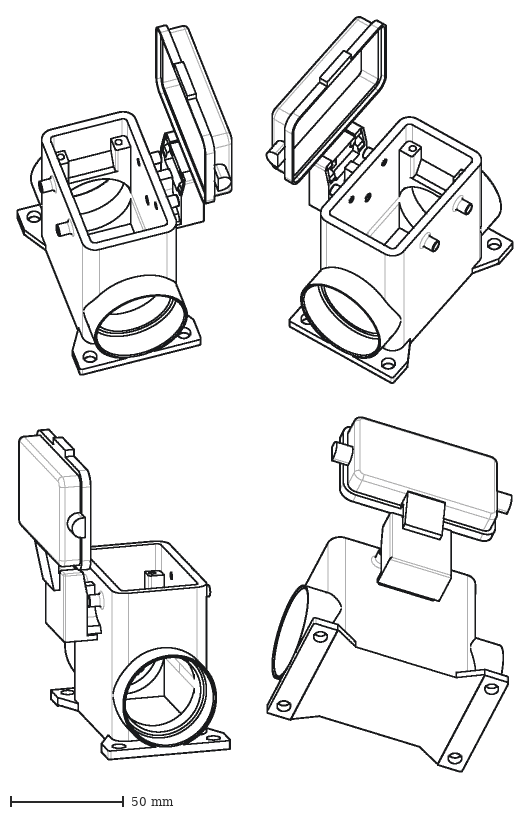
import cadquery as cq
import math

FOOT_HALF_X = 46.75
FOOT_HALF_Y = 28.25
FOOT_TOP = 4.0
FOOT_CORNER = 1.0
FOOT_WING_X = 24.0
FOOT_HOLE_D = 6.0
FOOT_HOLE_X = 41.0

BODY_HALF_X = 35.2
BODY_HALF_Y = 21.85
BODY_BOTTOM = 0.5
BODY_TOP = 73.0
BODY_CORNER = 6.0
WALL = 4.0
CAVITY_FLOOR = 4.0
CAVITY_CORNER = 2.0
CAVITY_HALF_X = BODY_HALF_X - WALL
CAVITY_HALF_Y = BODY_HALF_Y - WALL

POST_SIZE = 7.0
POST_TOP = 60.5
POST_HOLE_D = 3.0
POST_HOLE_DEPTH = 12.0
POST_HOLE_X = 28.3
POST_HOLE_Y = 13.5
POST_EDGE_ROUND = 1.0
END_WALL_X = CAVITY_HALF_X - POST_SIZE
END_SLOPE_X = 27.2
END_SLOPE_TOP = 51.8
END_SLOPE_FOOT = 45.0

ENTRY_Z = 24.6
ENTRY_R = 21.6
ENTRY_MOUTH_R = 20.4
ENTRY_MOUTH_DEPTH = 11.7
ENTRY_CHAMFER = 0.6
ENTRY_SEAT_R = 19.5
ENTRY_SEAT_LENGTH = 1.0
ENTRY_BORE_R = 18.0

PIN_X = 12.7
PIN_Z = 63.55
PIN_R = 2.65
PIN_BASE_FILLET = 1.4
PIN_END_Y = 28.0
PIN_CHAMFER = 0.3
PIN_SOCKET_D = 3.2
HINGE_SOCKET_D = 4.0
HINGE_SOCKET_Z = 51.5
SOCKET_DEPTH = 0.5

BRACKET_HALF_X = 14.75
BRACKET_BACK = 39.9
BRACKET_FRONT = 28.9
BRACKET_TOP = 77.7
BRACKET_TOP_FRONT = 30.8
BRACKET_SLOPE_END = 67.4
BRACKET_BOTTOM = 45.9
BRACKET_LIP_FRONT = 24.4
BRACKET_LIP_TOP = 48.2
BRACKET_FILLET = 0.8
SLOT_HALF_X = 9.0
SLOT_FLOOR = 65.5
KNUCKLE_TOP = 76.4
KNUCKLE_FRONT = 31.2
KNUCKLE_FOOT_FRONT = 32.6
EAR_BOTTOM = 72.0
EAR_INNER_X = 5.75
POCKET_HALF_X = 13.2
POCKET_SETBACK = 0.5
POCKET_TOP = 75.3
POCKET_BACK = 36.0
POCKET_BACK_Z = 74.2
POCKET_FRONT_Z = 69.5

RIB_HALF_X = 2.5
RIB_FLARE_Z = 59.2
RIB_KNEE = (5.25, 53.7)
RIB_FLARE_MID = (3.3, 56.1)
RIB_APRON_MID = (7.8, 52.1)
RIB_ROOT = (11.0, 51.2)
RIB_FOOT_X = 13.0

LID_BACK = 47.0
LID_FLANGE_BACK = 37.65
LID_FRONT = 33.5
LID_Z = 107.6
LID_FLANGE_HALF_X = 36.4
LID_FLANGE_HALF_Z = 23.1
LID_FLANGE_CORNER = 6.0
LID_INSET = 2.2
LID_BACK_FILLET = 2.0
LID_RECESS_INSET = 1.1
LID_RECESS_DEPTH = 2.0
LID_CAVITY_INSET = 3.6
LID_CAVITY_FLOOR = 44.5
LID_CAVITY_CORNER = 2.0
TAB_HALF_X = 9.4
TAB_TOP = 133.75
LUG_HALF_X = 41.9
LUG_R = 4.6
LUG_BACK = 43.7
ARM_HALF_X = 8.9
ARM_BOTTOM = 68.6
ARM_FRONT = 40.4
ARM_TIP_BACK = 42.6
ARM_ROOT_BACK = 46.4
ARM_ROOT_Z = 87.0
ARM_BRACKET_OVERLAP = 2.0


def block(x0, x1, y0, y1, z0, z1):
    """Axis-aligned box given by its limits."""
    return cq.Workplane("XY").box(x1 - x0, y1 - y0, z1 - z0, centered=False).translate((x0, y0, z0))


def rounded_block(half_x, half_y, z0, z1, corner):
    """Upright block centred on the Z axis, with rounded vertical edges."""
    return block(-half_x, half_x, -half_y, half_y, z0, z1).edges("|Z").fillet(corner)


def extrude_along_x(points, half_x):
    """Extrude a (y, z) outline symmetrically about X = 0."""
    return cq.Workplane("YZ").polyline(points).close().extrude(half_x, both=True)


def four_ways(shape):
    """The shape together with its mirror images in X and Y."""
    pair = shape.union(shape.mirror("YZ"))
    return pair.union(pair.mirror("XZ"))


def make_foot():
    """End plate with a tapered wing on each side, at +X."""
    plate = (
        block(BODY_HALF_X, FOOT_HALF_X, -FOOT_HALF_Y, FOOT_HALF_Y, 0, FOOT_TOP)
        .edges("|Z and >X")
        .fillet(FOOT_CORNER)
    )
    wing_outline = [
        (BODY_HALF_X, -FOOT_HALF_Y),
        (BODY_HALF_X, FOOT_HALF_Y),
        (FOOT_WING_X, BODY_HALF_Y),
        (FOOT_WING_X, -BODY_HALF_Y),
    ]
    wing = (
        cq.Workplane("XY", origin=(0, 0, BODY_BOTTOM))
        .polyline(wing_outline)
        .close()
        .extrude(FOOT_TOP - BODY_BOTTOM)
    )
    return plate.union(wing)


def make_foot_holes():
    """Screw holes through the four feet."""
    hole = cq.Workplane("XY").center(FOOT_HOLE_X, BODY_HALF_Y).circle(FOOT_HOLE_D / 2).extrude(FOOT_TOP)
    return four_ways(hole)


def make_cavity():
    """Inside of the housing, leaving the sloped end walls and the screw posts standing."""
    cavity = rounded_block(CAVITY_HALF_X, CAVITY_HALF_Y, CAVITY_FLOOR, BODY_TOP, CAVITY_CORNER)
    end_outline = [
        (END_WALL_X, CAVITY_FLOOR),
        (CAVITY_HALF_X, CAVITY_FLOOR),
        (CAVITY_HALF_X, END_SLOPE_TOP),
        (END_SLOPE_X, END_SLOPE_FOOT),
        (END_WALL_X, END_SLOPE_FOOT),
    ]
    end_wall = cq.Workplane("XZ").polyline(end_outline).close().extrude(CAVITY_HALF_Y, both=True)
    post = (
        block(END_WALL_X, CAVITY_HALF_X, CAVITY_HALF_Y - POST_SIZE, CAVITY_HALF_Y, CAVITY_FLOOR, POST_TOP)
        .edges("|Z and <X and <Y")
        .fillet(POST_EDGE_ROUND)
    )
    post_hole = (
        cq.Workplane("XY", origin=(POST_HOLE_X, POST_HOLE_Y, POST_TOP))
        .circle(POST_HOLE_D / 2)
        .extrude(-POST_HOLE_DEPTH)
    )
    standing = end_wall.union(end_wall.mirror("YZ")).union(four_ways(post.cut(post_hole)))
    return cavity.cut(standing)


def make_entry_bore():
    """Stepped bore of the cable entry, from the middle of the housing out to +X."""
    mouth_bottom = FOOT_HALF_X - ENTRY_MOUTH_DEPTH
    outline = [
        (0, 0),
        (0, ENTRY_BORE_R),
        (mouth_bottom - ENTRY_SEAT_LENGTH, ENTRY_BORE_R),
        (mouth_bottom - ENTRY_SEAT_LENGTH, ENTRY_SEAT_R),
        (mouth_bottom, ENTRY_MOUTH_R),
        (FOOT_HALF_X - ENTRY_CHAMFER, ENTRY_MOUTH_R),
        (FOOT_HALF_X, ENTRY_MOUTH_R + ENTRY_CHAMFER),
        (FOOT_HALF_X, 0),
    ]
    bore = cq.Workplane("XY").polyline(outline).close().revolve(360, (0, 0, 0), (1, 0, 0))
    return bore.translate((0, 0, ENTRY_Z))


def make_pin():
    """Locking pin standing on the wall at +X, +Y, with a flared base."""
    base_r = PIN_R + PIN_BASE_FILLET
    fillet_end_y = BODY_HALF_Y + PIN_BASE_FILLET
    arc_reach = PIN_BASE_FILLET * (1 - math.sqrt(0.5))
    pin = (
        cq.Workplane("XY")
        .moveTo(0, CAVITY_HALF_Y + WALL / 2)
        .lineTo(base_r, CAVITY_HALF_Y + WALL / 2)
        .lineTo(base_r, BODY_HALF_Y)
        .threePointArc((PIN_R + arc_reach, BODY_HALF_Y + arc_reach), (PIN_R, fillet_end_y))
        .lineTo(PIN_R, PIN_END_Y - PIN_CHAMFER)
        .lineTo(PIN_R - PIN_CHAMFER, PIN_END_Y)
        .lineTo(0, PIN_END_Y)
        .close()
        .revolve(360, (0, 0, 0), (0, 1, 0))
    )
    return pin.translate((PIN_X, 0, PIN_Z))


def make_socket(x, z, diameter):
    """Shallow round socket in the inner face of the +Y wall."""
    socket = cq.Workplane("XZ", origin=(x, CAVITY_HALF_Y, z)).circle(diameter / 2)
    return socket.extrude(-SOCKET_DEPTH)


def make_housing():
    """Open-topped housing with feet, cable entries and locking pins."""
    body = rounded_block(BODY_HALF_X, BODY_HALF_Y, BODY_BOTTOM, BODY_TOP, BODY_CORNER)
    entries = (
        cq.Workplane("YZ", origin=(0, 0, ENTRY_Z)).circle(ENTRY_R).extrude(FOOT_HALF_X, both=True)
    )
    foot = make_foot()
    bore = make_entry_bore()
    housing = body.union(entries).union(foot).union(foot.mirror("YZ"))
    housing = housing.cut(make_cavity()).cut(bore).cut(bore.mirror("YZ")).cut(make_foot_holes())
    housing = housing.union(four_ways(make_pin()))
    housing = housing.cut(four_ways(make_socket(PIN_X, PIN_Z, PIN_SOCKET_D)))
    return housing.cut(make_socket(0, HINGE_SOCKET_Z, HINGE_SOCKET_D))


def make_knuckle():
    """Core of the bracket slot: a receding front face with an upright ear at each top corner."""
    core_outline = [
        (BRACKET_BACK, SLOT_FLOOR),
        (KNUCKLE_FOOT_FRONT, SLOT_FLOOR),
        (KNUCKLE_FRONT, KNUCKLE_TOP),
        (BRACKET_BACK, KNUCKLE_TOP),
    ]
    core = extrude_along_x(core_outline, SLOT_HALF_X)
    ear = block(EAR_INNER_X, SLOT_HALF_X, KNUCKLE_FRONT, BRACKET_BACK, EAR_BOTTOM, KNUCKLE_TOP)
    return core.union(ear).union(ear.mirror("YZ"))


def make_pocket():
    """Cut between the knuckle and the +X side wall: a front setback and a deep hollow behind it."""
    setback_outline = [
        (BRACKET_FRONT, BRACKET_SLOPE_END),
        (BRACKET_FRONT + POCKET_SETBACK, BRACKET_SLOPE_END),
        (BRACKET_TOP_FRONT + POCKET_SETBACK, BRACKET_TOP),
        (BRACKET_FRONT, BRACKET_TOP),
    ]
    hollow_outline = [
        (BRACKET_FRONT, POCKET_FRONT_Z),
        (POCKET_BACK, POCKET_BACK_Z),
        (POCKET_BACK, POCKET_TOP),
        (BRACKET_FRONT, POCKET_TOP),
    ]
    plane = cq.Workplane("YZ", origin=(SLOT_HALF_X, 0, 0))
    depth = POCKET_HALF_X - SLOT_HALF_X
    setback = plane.polyline(setback_outline).close().extrude(depth)
    return setback.union(plane.polyline(hollow_outline).close().extrude(depth))


def make_bracket():
    """Hinge bracket behind the housing, with the knuckle slot and two side pockets."""
    outline = [
        (BRACKET_BACK, BRACKET_BOTTOM),
        (BRACKET_LIP_FRONT, BRACKET_BOTTOM),
        (BRACKET_LIP_FRONT, BRACKET_LIP_TOP),
        (BRACKET_FRONT, BRACKET_LIP_TOP),
        (BRACKET_FRONT, BRACKET_SLOPE_END),
        (BRACKET_TOP_FRONT, BRACKET_TOP),
        (BRACKET_BACK, BRACKET_TOP),
    ]
    bracket = extrude_along_x(outline, BRACKET_HALF_X)
    bracket = bracket.faces(">Y or >Z").edges("not <Y").fillet(BRACKET_FILLET)
    slot = block(-SLOT_HALF_X, SLOT_HALF_X, BRACKET_FRONT, BRACKET_BACK, SLOT_FLOOR, BRACKET_TOP)
    bracket = bracket.cut(slot).union(make_knuckle())
    pocket = make_pocket()
    return bracket.cut(pocket).cut(pocket.mirror("YZ"))


def make_rib():
    """Flared rib between the housing wall and the bracket."""
    start_y = BODY_HALF_Y - WALL / 2
    half = (
        cq.Workplane("XZ", origin=(0, start_y, 0))
        .moveTo(0, BRACKET_LIP_TOP)
        .lineTo(RIB_FOOT_X, BRACKET_LIP_TOP)
        .lineTo(*RIB_ROOT)
        .threePointArc(RIB_APRON_MID, RIB_KNEE)
        .threePointArc(RIB_FLARE_MID, (RIB_HALF_X, RIB_FLARE_Z))
        .lineTo(RIB_HALF_X, BRACKET_SLOPE_END)
        .lineTo(0, BRACKET_SLOPE_END)
        .close()
        .extrude(start_y - BRACKET_FRONT)
    )
    return half.union(half.mirror("YZ"))


def lid_prism(inset, y0, y1, corner):
    """Rounded plate parallel to the lid face, inset from the flange outline."""
    half_x = LID_FLANGE_HALF_X - inset
    half_z = LID_FLANGE_HALF_Z - inset
    return block(-half_x, half_x, y0, y1, LID_Z - half_z, LID_Z + half_z).edges("|Y").fillet(corner)


def make_lug():
    """Side lugs as one bar through the lid: flat towards the flange, half-round at the back."""
    centre_y = LUG_BACK - LUG_R
    straight = block(
        -LUG_HALF_X, LUG_HALF_X, LID_FLANGE_BACK, centre_y, LID_Z - LUG_R, LID_Z + LUG_R
    )
    behind_centre = block(-LUG_HALF_X, LUG_HALF_X, centre_y, LUG_BACK, LID_Z - LUG_R, LID_Z + LUG_R)
    barrel = cq.Workplane("YZ", origin=(0, centre_y, LID_Z)).circle(LUG_R).extrude(LUG_HALF_X, both=True)
    return straight.union(barrel.intersect(behind_centre))


def make_arm():
    """Tapered arm from the lid down into the bracket slot."""
    outline = [
        (LID_FLANGE_BACK, ARM_ROOT_Z),
        (ARM_ROOT_BACK, ARM_ROOT_Z),
        (ARM_TIP_BACK, ARM_BOTTOM),
        (BRACKET_BACK - ARM_BRACKET_OVERLAP, ARM_BOTTOM),
        (BRACKET_BACK - ARM_BRACKET_OVERLAP, KNUCKLE_TOP),
        (ARM_FRONT, KNUCKLE_TOP),
        (ARM_FRONT, LID_Z - LID_FLANGE_HALF_Z),
        (LID_FLANGE_BACK, LID_Z - LID_FLANGE_HALF_Z),
    ]
    return extrude_along_x(outline, ARM_HALF_X)


def make_lid():
    """Lid standing open, its mouth facing -Y."""
    flange = lid_prism(0, LID_FRONT, LID_FLANGE_BACK, LID_FLANGE_CORNER)
    tray = lid_prism(LID_INSET, LID_FRONT, LID_BACK, LID_FLANGE_CORNER - LID_INSET)
    tray = tray.faces(">Y").edges().fillet(LID_BACK_FILLET)
    tab = block(-TAB_HALF_X, TAB_HALF_X, LID_FRONT, LID_FLANGE_BACK, LID_Z, TAB_TOP)
    recess = lid_prism(
        LID_RECESS_INSET, LID_FRONT, LID_FRONT + LID_RECESS_DEPTH, LID_FLANGE_CORNER - LID_RECESS_INSET
    )
    cavity = lid_prism(LID_CAVITY_INSET, LID_FRONT, LID_CAVITY_FLOOR, LID_CAVITY_CORNER)
    lid = flange.union(tray).union(tab).union(make_lug()).union(make_arm())
    return lid.cut(recess).cut(cavity)


result = make_housing().union(make_rib()).union(make_bracket()).union(make_lid()).clean()